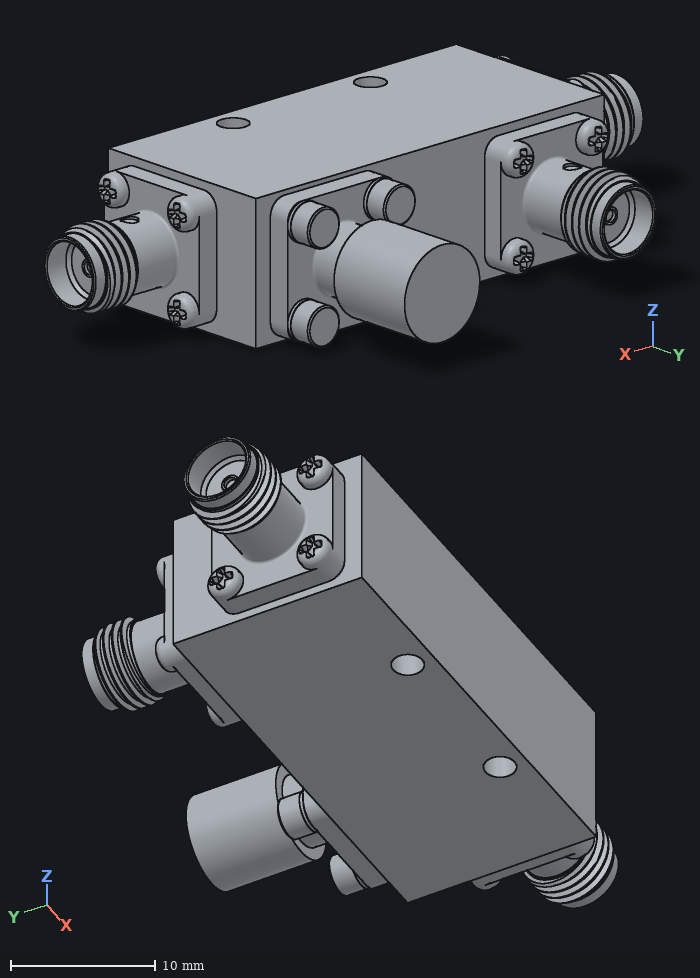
import cadquery as cq


BODY_X = 33.0
BODY_Y = 15.0
BODY_Z = 11.0
MOUNT_HOLE_DIA = 2.3
MOUNT_HOLE_SPACING = 13.0
MOUNT_HOLE_EDGE = 2.0

LINE_PORT_Y = -1.3
SIDE_PORT_X = 10.0

BARREL_RADIUS = 2.67
BARREL_ROOT_FILLET = 0.2

CONNECTOR_LENGTH = 9.525
FLANGE_THICKNESS = 1.65
SCREW_SPACING = 7.1
SCREW_RADIUS = 1.27
SCREW_HEIGHT = 0.95
SCREW_FILLET = 0.6
RECESS_ARMS = 4
RECESS_ARM_WIDTH = 0.25
RECESS_ARM_SPAN = 1.45
RECESS_DRAFT = 20
RECESS_CORE_DIAGONAL = 1.1
RECESS_DEPTH = 0.5

THREAD_RADIUS = 3.175
THREAD_PITCH = 25.4 / 36
THREAD_CREST_WIDTH = 0.1
THREAD_ROOT_WIDTH = 0.6
THREAD_SINK = 0.1
THREAD_LAND_STEP = 0.08
THREAD_RUNOUT = 0.5
THREAD_START_ANGLE = 180
THREAD_LENGTH = 3.0
THREAD_TIP_GAP = 1.02
TIP_CHAMFER = 0.1

BORE_RADIUS = 2.3
BORE_FLOOR_RADIUS = 2.05
BORE_DEPTH = 2.2
BORE_CONE_LENGTH = 0.3
BORE_CHAMFER = 0.1
CONTACT_RADIUS = 0.635
CONTACT_HEIGHT = 0.3
CONTACT_BORE_RADIUS = 0.46

BARREL_HOLE_RADIUS = 0.65
BARREL_HOLE_X = 3.75
BARREL_HOLE_DEPTH = 0.2

LOAD_LENGTH = 11.94
LOAD_FLANGE_SIDE = 10.25
LOAD_FLANGE_CORNER = 1.3
LOAD_FLANGE_THICKNESS = 1.75
CAP_RADIUS = 3.57
CAP_LENGTH = 7.15
LOAD_SCREW_SPACING = 7.2
LOAD_SCREW_RADIUS = 1.5
LOAD_SCREW_HEIGHT = 2.1
LOAD_SCREW_CHAMFER = 0.12
WASHER_RADIUS = 1.525
WASHER_THICKNESS = 0.3


def cylinder(radius, start, length):
    """Solid cylinder on the X axis."""
    return cq.Workplane("YZ").workplane(offset=start).circle(radius).extrude(length)


def flange(side, corner_radius, thickness):
    """Square plate with rounded corners and its back at X = 0."""
    plate = cq.Workplane("YZ").rect(side, side).extrude(thickness)
    return plate.edges("|X").fillet(corner_radius)


def with_screws(plate, screw, spacing, x):
    """Seat four copies of a +Z screw on a plate, at the corners of a square at the given X."""
    turned = screw.rotate((0, 0, 0), (0, 1, 0), 90)
    for y in (-spacing / 2, spacing / 2):
        for z in (-spacing / 2, spacing / 2):
            plate = plate.union(turned.translate((x, y, z)))
    return plate


def plain_barrel(base_x, end_x):
    """Barrel with a small fillet where it meets the flange."""
    barrel = cylinder(BARREL_RADIUS, base_x, end_x - base_x)
    flare_radius = BARREL_RADIUS + BARREL_ROOT_FILLET
    flare = (
        cq.Workplane("XY")
        .moveTo(base_x, 0)
        .lineTo(base_x, flare_radius)
        .radiusArc((base_x + BARREL_ROOT_FILLET, BARREL_RADIUS), -BARREL_ROOT_FILLET)
        .lineTo(base_x + BARREL_ROOT_FILLET, 0)
        .close()
        .revolve(360, (0, 0, 0), (1, 0, 0))
    )
    return barrel.union(flare)


def cross_screw():
    """Pan head along +Z with a cross recess around a square core."""
    head = cq.Workplane("XY").circle(SCREW_RADIUS).extrude(SCREW_HEIGHT)
    head = head.faces(">Z").edges().fillet(SCREW_FILLET)
    floor = cq.Workplane("XY").workplane(offset=SCREW_HEIGHT - RECESS_DEPTH)
    recess = floor.polygon(RECESS_ARMS, RECESS_CORE_DIAGONAL).extrude(RECESS_DEPTH)
    arms = floor.rect(RECESS_ARM_SPAN, RECESS_ARM_WIDTH).extrude(RECESS_DEPTH, taper=-RECESS_DRAFT)
    crossing_arms = arms.rotate((0, 0, 0), (0, 0, 1), 90)
    return head.cut(recess.union(arms).union(crossing_arms))


def thread(start_x):
    """Right-hand helical ridge, tapered away at both ends."""
    end_x = start_x + THREAD_LENGTH
    land_radius = BARREL_RADIUS + THREAD_LAND_STEP
    inner = BARREL_RADIUS - THREAD_SINK
    half_root = THREAD_ROOT_WIDTH / 2
    half_crest = THREAD_CREST_WIDTH / 2
    path = cq.Wire.makeHelix(THREAD_PITCH, THREAD_LENGTH + 2 * THREAD_PITCH, inner)
    ridge = (
        cq.Workplane("XZ")
        .moveTo(inner, -half_root)
        .lineTo(THREAD_RADIUS, -half_crest)
        .lineTo(THREAD_RADIUS, half_crest)
        .lineTo(inner, half_root)
        .close()
        .sweep(cq.Workplane(obj=path), isFrenet=True)
        .rotate((0, 0, 0), (0, 1, 0), 90)
        .rotate((0, 0, 0), (1, 0, 0), THREAD_START_ANGLE)
        .translate((start_x - THREAD_PITCH, 0, 0))
    )
    envelope = (
        cq.Workplane("XY")
        .moveTo(start_x, 0)
        .lineTo(start_x, land_radius)
        .lineTo(start_x + THREAD_RUNOUT, THREAD_RADIUS)
        .lineTo(end_x - THREAD_RUNOUT, THREAD_RADIUS)
        .lineTo(end_x, land_radius)
        .lineTo(end_x, 0)
        .close()
        .revolve(360, (0, 0, 0), (1, 0, 0))
    )
    land = cylinder(land_radius, start_x, THREAD_LENGTH)
    return ridge.intersect(envelope).union(land)


def connector():
    """Threaded female connector with its flange and four screws."""
    barrel = plain_barrel(FLANGE_THICKNESS, CONNECTOR_LENGTH)
    barrel = barrel.faces(">X").edges().chamfer(TIP_CHAMFER)
    barrel = barrel.union(thread(CONNECTOR_LENGTH - THREAD_TIP_GAP - THREAD_LENGTH))

    bore_floor = CONNECTOR_LENGTH - BORE_DEPTH
    bore = (
        cq.Workplane("XY")
        .moveTo(bore_floor, 0)
        .lineTo(bore_floor, BORE_FLOOR_RADIUS)
        .lineTo(bore_floor + BORE_CONE_LENGTH, BORE_RADIUS)
        .lineTo(CONNECTOR_LENGTH - BORE_CHAMFER, BORE_RADIUS)
        .lineTo(CONNECTOR_LENGTH, BORE_RADIUS + BORE_CHAMFER)
        .lineTo(CONNECTOR_LENGTH, 0)
        .close()
        .revolve(360, (0, 0, 0), (1, 0, 0))
    )
    contact = cylinder(CONTACT_RADIUS, bore_floor, CONTACT_HEIGHT)
    contact_bore = cylinder(CONTACT_BORE_RADIUS, bore_floor, CONTACT_HEIGHT)
    barrel = barrel.cut(bore).union(contact.cut(contact_bore))

    barrel_hole = (
        cq.Workplane("XY", origin=(BARREL_HOLE_X, 0, BARREL_RADIUS - BARREL_HOLE_DEPTH))
        .circle(BARREL_HOLE_RADIUS)
        .extrude(2 * BARREL_HOLE_DEPTH)
    )
    barrel = barrel.cut(barrel_hole)

    plate = flange(SCREW_SPACING + 2 * SCREW_RADIUS, SCREW_RADIUS, FLANGE_THICKNESS)
    plate = with_screws(plate, cross_screw(), SCREW_SPACING, FLANGE_THICKNESS)
    return plate.union(barrel)


def termination():
    """Plain load: flange, barrel, cylindrical cap and four screws with washers."""
    screw = cq.Workplane("XY").circle(LOAD_SCREW_RADIUS).extrude(LOAD_SCREW_HEIGHT)
    screw = screw.faces(">Z").edges().chamfer(LOAD_SCREW_CHAMFER)
    screw = screw.union(cq.Workplane("XY").circle(WASHER_RADIUS).extrude(WASHER_THICKNESS))

    load = flange(LOAD_FLANGE_SIDE, LOAD_FLANGE_CORNER, LOAD_FLANGE_THICKNESS)
    load = with_screws(load, screw, LOAD_SCREW_SPACING, LOAD_FLANGE_THICKNESS)
    cap_start = LOAD_LENGTH - CAP_LENGTH
    load = load.union(plain_barrel(LOAD_FLANGE_THICKNESS, cap_start))
    return load.union(cylinder(CAP_RADIUS, cap_start, CAP_LENGTH))


def body():
    """Block with two through holes parallel to Z."""
    hole_y = -BODY_Y / 2 + MOUNT_HOLE_EDGE
    return (
        cq.Workplane("XY")
        .box(BODY_X, BODY_Y, BODY_Z)
        .faces(">Z")
        .workplane(origin=(0, hole_y, 0))
        .rarray(MOUNT_HOLE_SPACING, 1, 2, 1)
        .hole(MOUNT_HOLE_DIA)
    )


def placed_port(port, turn, x, y):
    """Turn a port about Z and move its mounting face centre to (x, y)."""
    return port.rotate((0, 0, 0), (0, 0, 1), turn).translate((x, y, 0))


threaded_port = connector()
result = body()
result = result.union(placed_port(threaded_port, 180, -BODY_X / 2, LINE_PORT_Y))
result = result.union(placed_port(threaded_port, 0, BODY_X / 2, LINE_PORT_Y))
result = result.union(placed_port(threaded_port, 90, -SIDE_PORT_X, BODY_Y / 2))
result = result.union(placed_port(termination(), 90, SIDE_PORT_X, BODY_Y / 2))